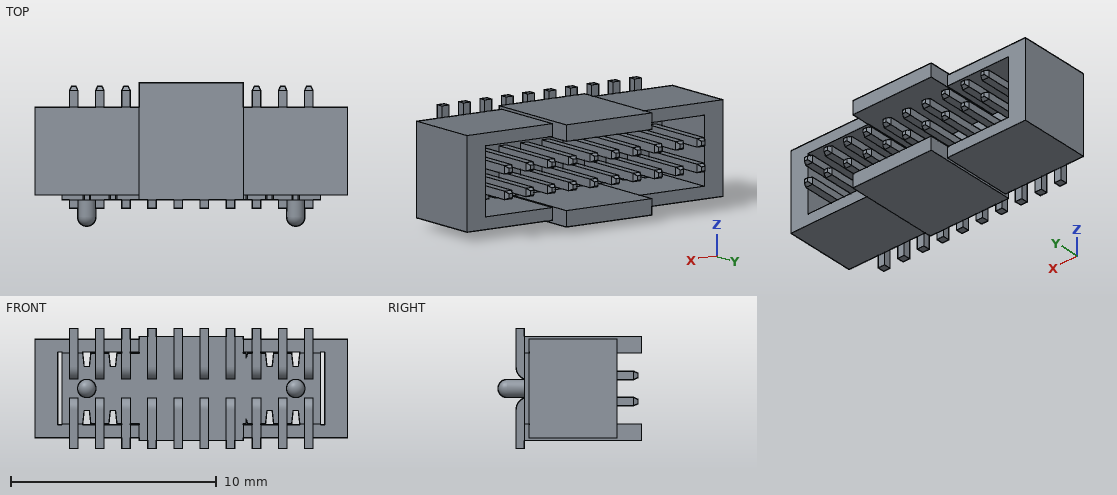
import cadquery as cq
import math


pin_count = 10
pin_row_length = 11.42
pin_pitch = pin_row_length / (pin_count - 1)
pin_width = 0.43
pin_row_z = pin_pitch / 2
pin_tip_y = 5.53
pin_taper = 0.23
pin_tip_width = 0.21
foot_thickness = 0.41
foot_end_z = 2.92
bend_radius = 0.61

shroud_length = 15.19
shroud_height = 4.8
shroud_rear_y = 0.23
shroud_front_y = 4.51
window_length = 12.97
window_height = 3.52

insulator_length = 12.58
insulator_height = 3.43
insulator_depth = 1.22

block_length = 5.07
block_height = 5.07
block_front_y = 5.7

slot_gaps = (-4, -3, 3, 4)
slot_floor_z = 1.08
slot_floor_width = 0.25
slot_mouth_width = 0.38
key_start_x = max(slot_gaps) * pin_pitch + slot_mouth_width / 2

groove_gap = 2
groove_outer_x = groove_gap * pin_pitch + slot_mouth_width / 2
groove_width = 0.06
groove_tip_z = 1.49

peg_spacing = (pin_count - 2) * pin_pitch
peg_radius = 0.9 / 2
peg_tip_y = -1.29

overlap = 0.15


def box_between(x_range, y_range, z_range):
    """Box given by its lower and upper limits along each axis."""
    size = [high - low for low, high in (x_range, y_range, z_range)]
    corner = (x_range[0], y_range[0], z_range[0])
    return cq.Workplane("XY").box(*size, centered=False).translate(corner)


def centred_bar(length, y_range, height):
    """Box centred on X = 0 and Z = 0."""
    x_range = (-length / 2, length / 2)
    z_range = (-height / 2, height / 2)
    return box_between(x_range, y_range, z_range)


def both_sides(upper):
    """A body above the centre plane together with its mirror image below."""
    return upper.union(upper.mirror("XY"))


def make_shroud():
    y_range = (shroud_rear_y, shroud_front_y)
    outside = centred_bar(shroud_length, y_range, shroud_height)
    window = centred_bar(window_length, y_range, window_height)
    return outside.cut(window)


def make_slot(x):
    """Upper slot cutter, wider toward the edge of the insulator."""
    mouth_z = insulator_height / 2
    outline = [
        (x - slot_mouth_width / 2, mouth_z),
        (x + slot_mouth_width / 2, mouth_z),
        (x + slot_floor_width / 2, slot_floor_z),
        (x - slot_floor_width / 2, slot_floor_z),
    ]
    return cq.Workplane("XZ").polyline(outline).close().extrude(-insulator_depth)


def make_groove():
    """Upper wedge-shaped groove cutter, narrowing toward the centre plane."""
    mouth_z = insulator_height / 2
    inner_x = groove_outer_x - groove_width
    outline = [(inner_x, mouth_z), (groove_outer_x, mouth_z), (inner_x, groove_tip_z)]
    return cq.Workplane("XZ").polyline(outline).close().extrude(-insulator_depth)


def make_insulator():
    insulator = centred_bar(insulator_length, (0, insulator_depth), insulator_height)
    for gap in slot_gaps:
        insulator = insulator.cut(both_sides(make_slot(gap * pin_pitch)))
    return insulator.cut(both_sides(make_groove()))


def make_end_key():
    """Upper filler that closes the gap between insulator and shroud near the +X end."""
    return box_between(
        (key_start_x, insulator_length / 2),
        (shroud_rear_y, insulator_depth),
        (insulator_height / 2 - overlap, window_height / 2),
    )


def make_block_wall():
    x_range = (-block_length / 2, block_length / 2)
    return box_between(x_range, (0, block_front_y), (insulator_height / 2, block_height / 2))


def make_pin():
    """Upper pin at X = 0: straight contact with a tapered tip, bent up into a foot."""
    inner_z = pin_row_z - pin_width / 2
    outer_z = pin_row_z + pin_width / 2
    bend_end_z = inner_z + bend_radius
    bend_end_y = bend_radius - foot_thickness
    taper_y = pin_tip_y - pin_taper
    arc_offset = bend_radius * (1 - math.sqrt(0.5))
    profile = (
        cq.Workplane("YZ")
        .moveTo(taper_y, inner_z)
        .lineTo(bend_end_y, inner_z)
        .threePointArc(
            (arc_offset - foot_thickness, inner_z + arc_offset),
            (-foot_thickness, bend_end_z),
        )
        .lineTo(-foot_thickness, foot_end_z)
        .lineTo(0, foot_end_z)
        .lineTo(0, outer_z)
        .lineTo(taper_y, outer_z)
        .close()
    )
    body = profile.extrude(pin_width / 2, both=True)
    tip = (
        cq.Workplane("XZ", origin=(0, taper_y, pin_row_z))
        .rect(pin_width, pin_width)
        .workplane(offset=-pin_taper)
        .rect(pin_tip_width, pin_tip_width)
        .loft()
    )
    return body.union(tip)


def make_peg(x):
    """Round peg with a hemispherical end."""
    dome_y = peg_tip_y + peg_radius
    shank = cq.Workplane("XZ", origin=(x, overlap, 0)).circle(peg_radius).extrude(overlap - dome_y)
    dome = cq.Workplane("XY").sphere(peg_radius).translate((x, dome_y, 0))
    return shank.union(dome)


result = make_shroud().union(make_insulator())

end_key = both_sides(make_end_key())
result = result.union(end_key).union(end_key.mirror("YZ"))

result = result.union(both_sides(make_block_wall()))

pin_pair = both_sides(make_pin())
for index in range(pin_count):
    x = index * pin_pitch - pin_row_length / 2
    result = result.union(pin_pair.translate((x, 0, 0)))

for x in (-peg_spacing / 2, peg_spacing / 2):
    result = result.union(make_peg(x))